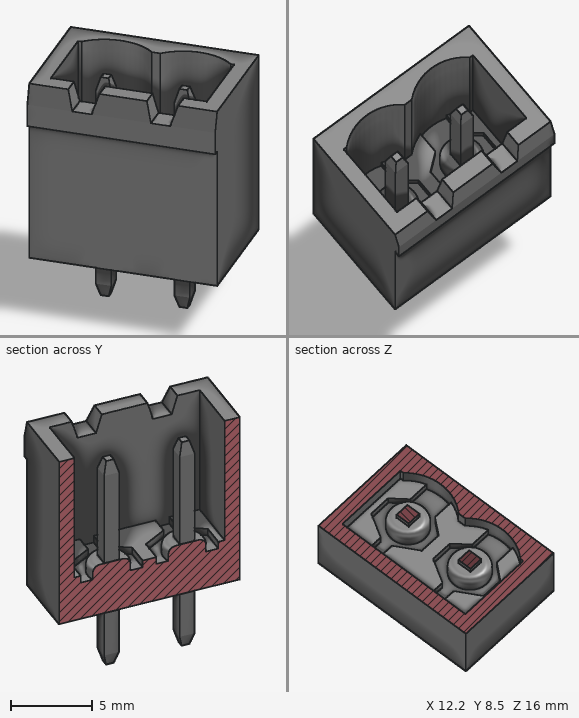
import cadquery as cq
import math


pin_count = 2
pin_pitch = 5.09
pin_xs = [(i - (pin_count - 1) / 2) * pin_pitch for i in range(pin_count)]

housing_length = 12.16
housing_height = 12.0
back_y = 3.8
front_y = -4.32

lip_overhang = 0.38
lip_height = 2.75
lip_chamfer_height = 1.28
lip_front_y = front_y - lip_overhang

cavity_length = 10.1
cavity_back_y = 2.1
cavity_front_y = -3.22
bay_center_y = -0.34
bay_back_y = 3.0
bay_radius = bay_back_y - bay_center_y
floor_z = 3.2

recess_depth = 0.5
recess_z = floor_z - recess_depth
back_channel_half_width = 1.0
recess_half_width = 2.08
front_channel_half_width = 0.46
back_channel_y = 1.36
recess_back_y = 0.5
recess_front_y = -1.05
front_channel_y = -2.0

boss_diameter = 2.75
boss_round = 0.5
boss_height = 1.0

notch_top_width = 2 * back_channel_half_width
notch_bottom_width = 1.25
notch_depth = lip_chamfer_height

pin_width = 1.0
pin_tip_width = 0.51
pin_taper_length = 0.88
pin_bottom_z = -4.0
pin_top_setback = 1.0
pin_top_z = housing_height - pin_top_setback


def pin_prism(width, bottom_z, top_z):
    """Square column centred on the Z axis."""
    return (
        cq.Workplane("XY")
        .workplane(offset=bottom_z)
        .rect(width, width)
        .extrude(top_z - bottom_z)
    )


def make_pin(x):
    """Square pin tapered to a smaller flat at both ends."""
    lower_shoulder_z = pin_bottom_z + pin_taper_length
    upper_shoulder_z = pin_top_z - pin_taper_length
    shank = pin_prism(pin_width, lower_shoulder_z, upper_shoulder_z)
    for shoulder in (">Z", "<Z"):
        tip = (
            shank.faces(shoulder)
            .workplane()
            .rect(pin_width, pin_width)
            .workplane(offset=pin_taper_length)
            .rect(pin_tip_width, pin_tip_width)
            .loft(combine=False)
        )
        shank = shank.union(tip)
    return shank.translate((x, 0, 0))


def make_block():
    """Housing block with the chamfered lip, as one side profile run along X."""
    lip_bottom_z = housing_height - lip_height
    chamfer_z = housing_height - lip_chamfer_height
    profile = [
        (back_y, 0),
        (back_y, housing_height),
        (front_y, housing_height),
        (lip_front_y, chamfer_z),
        (lip_front_y, lip_bottom_z),
        (front_y, lip_bottom_z),
        (front_y, 0),
    ]
    return cq.Workplane("YZ").polyline(profile).close().extrude(housing_length / 2, both=True)


def cavity_prism(bottom_z):
    """Cavity outline, with its round bays, from bottom_z to the top of the housing."""
    half_length = cavity_length / 2
    bay_half_chord = math.sqrt(bay_radius**2 - (cavity_back_y - bay_center_y) ** 2)
    outline = (
        cq.Workplane("XY")
        .workplane(offset=bottom_z)
        .moveTo(half_length, cavity_front_y)
        .lineTo(-half_length, cavity_front_y)
        .lineTo(-half_length, cavity_back_y)
    )
    for x in pin_xs:
        outline = outline.lineTo(x - bay_half_chord, cavity_back_y)
        outline = outline.threePointArc((x, bay_back_y), (x + bay_half_chord, cavity_back_y))
    return outline.lineTo(half_length, cavity_back_y).close().extrude(housing_height - bottom_z)


def recess_prism(x):
    """Keyhole shape from the recess floor up to the cavity floor, running past both cavity walls."""
    right_side = [
        (front_channel_half_width, front_y),
        (front_channel_half_width, front_channel_y),
        (recess_half_width, recess_front_y),
        (recess_half_width, recess_back_y),
        (back_channel_half_width, back_channel_y),
        (back_channel_half_width, back_y),
    ]
    left_side = [(-half_width, y) for half_width, y in reversed(right_side)]
    return (
        cq.Workplane("XY")
        .workplane(offset=recess_z)
        .polyline(right_side + left_side)
        .close()
        .extrude(recess_depth)
        .translate((x, 0, 0))
    )


def make_boss(x):
    """Round boss on the recess floor with a rounded upper edge."""
    return (
        cq.Workplane("XY")
        .workplane(offset=recess_z)
        .center(x, 0)
        .circle(boss_diameter / 2)
        .extrude(boss_height)
        .faces(">Z")
        .edges()
        .fillet(boss_round)
    )


def notch_prism(x):
    """Notch through the front wall and the lip, narrowing downwards."""
    notch_z = housing_height - notch_depth
    profile = [
        (-notch_top_width / 2, housing_height),
        (notch_top_width / 2, housing_height),
        (notch_bottom_width / 2, notch_z),
        (-notch_bottom_width / 2, notch_z),
    ]
    return (
        cq.Workplane("XZ", origin=(x, cavity_front_y, 0))
        .polyline(profile)
        .close()
        .extrude(cavity_front_y - lip_front_y)
    )


def make_housing():
    """Housing with cavity, floor recesses, bosses, notches and square pin holes."""
    body = make_block().cut(cavity_prism(floor_z))
    for x in pin_xs:
        body = body.cut(recess_prism(x).intersect(cavity_prism(recess_z)))
        body = body.union(make_boss(x))
        body = body.cut(notch_prism(x))
        pin_hole = pin_prism(pin_width, 0, recess_z + boss_height)
        body = body.cut(pin_hole.translate((x, 0, 0)))
    return body


housing = make_housing()
pins = [make_pin(x) for x in pin_xs]

result = cq.Compound.makeCompound([housing.val(), *[pin.val() for pin in pins]])